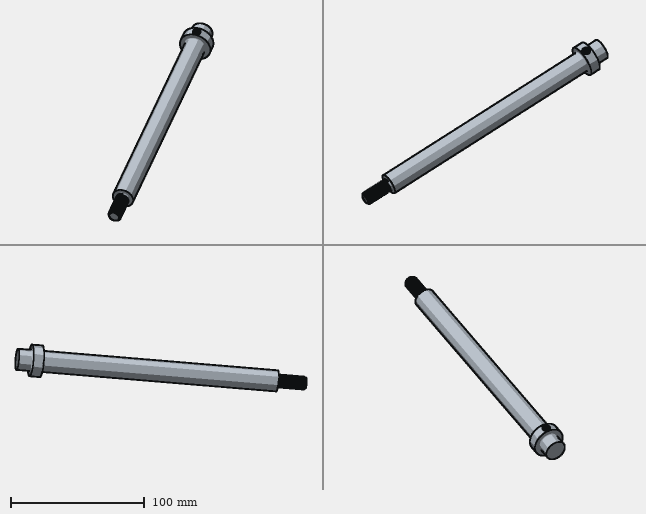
import cadquery as cq
import math

ROD_DIAMETER = 16.0
ROD_LENGTH = 198.0
STUD_DIAMETER = 10.0
STUD_LENGTH = 22.0
STUD_TIP_CHAMFER = 1.0
STUD_ROOT_FILLET = 0.5

THREAD_PITCH = 1.5
THREAD_HALF_ANGLE = math.radians(30)
THREAD_CREST = THREAD_PITCH / 8
THREAD_ROOT = THREAD_PITCH / 4
THREAD_DEPTH = (THREAD_PITCH - THREAD_CREST - THREAD_ROOT) / (2 * math.tan(THREAD_HALF_ANGLE))
THREAD_START = THREAD_PITCH / 2 + STUD_ROOT_FILLET
GROOVE_OVERCUT = 0.1

COLLAR_DIAMETER = 24.0
COLLAR_WIDTH = 8.0
COLLAR_END_GAP = 10.3
COLLAR_ROOT_FILLET = 0.9

SCREW_DIAMETER = 5.3
SCREW_LENGTH = 6.0
SCREW_CHAMFER = 0.5
SCREW_RECESS = 0.5
HOLE_COUNTERSINK = 0.7
SOCKET_ACROSS_FLATS = 2.2
SOCKET_DEPTH = 2.0
SOCKET_TURN = 90
SOCKET_POINT_ANGLE = math.radians(30)

collar_start = ROD_LENGTH - COLLAR_END_GAP - COLLAR_WIDTH
collar_end = collar_start + COLLAR_WIDTH
collar_middle = collar_start + COLLAR_WIDTH / 2
collar_radius = COLLAR_DIAMETER / 2
screw_radius = SCREW_DIAMETER / 2
screw_top = collar_radius - SCREW_RECESS
screw_bottom = screw_top - SCREW_LENGTH


def cylinder_along_y(diameter, start, length):
    """Cylinder centred on the Y axis, running from y = start towards +Y."""
    return cq.Workplane("XZ", origin=(0, start, 0)).circle(diameter / 2).extrude(-length)


def thread_groove():
    """Helical cutter that leaves the thread on the stud, from the root fillet past the tip."""
    stud_radius = STUD_DIAMETER / 2
    root_radius = stud_radius - THREAD_DEPTH
    outer_radius = stud_radius + GROOVE_OVERCUT
    half_root = THREAD_ROOT / 2
    half_mouth = half_root + (outer_radius - root_radius) * math.tan(THREAD_HALF_ANGLE)
    helix = cq.Wire.makeHelix(THREAD_PITCH, STUD_LENGTH, root_radius)
    profile = [
        (root_radius, -half_root),
        (outer_radius, -half_mouth),
        (outer_radius, half_mouth),
        (root_radius, half_root),
    ]
    groove = cq.Workplane("XZ").polyline(profile).close().sweep(cq.Workplane(obj=helix), isFrenet=True)
    groove = groove.rotate((0, 0, 0), (1, 0, 0), 90).rotate((0, 0, 0), (0, 1, 0), -90)
    return groove.translate((0, -THREAD_START, 0))


def fillet_root(body, root_diameter, face_y, radius):
    """Fillet the inner corner where a cylinder of root_diameter meets the flat face at face_y."""
    reach = root_diameter / 2 + radius / 2
    corner = cq.selectors.BoxSelector(
        (-reach, face_y - radius / 2, -reach), (reach, face_y + radius / 2, reach), boundingbox=True
    )
    return body.edges(corner).fillet(radius)


def screw_hole():
    """Cutter for the blind hole that takes the set screw, with its countersunk mouth."""
    mouth = collar_radius - HOLE_COUNTERSINK
    profile = [
        (0, screw_bottom),
        (screw_radius, screw_bottom),
        (screw_radius, mouth),
        (screw_radius + HOLE_COUNTERSINK, collar_radius),
        (0, collar_radius),
    ]
    hole = cq.Workplane("XZ").polyline(profile).close().revolve(360, (0, 0, 0), (0, 1, 0))
    return hole.translate((0, collar_middle, 0))


def make_shaft():
    """Rod, collar and threaded stud as one solid, with the stud shoulder at y = 0."""
    rod = cylinder_along_y(ROD_DIAMETER, 0, ROD_LENGTH)
    collar = cylinder_along_y(COLLAR_DIAMETER, collar_start, COLLAR_WIDTH)
    stud = cylinder_along_y(STUD_DIAMETER, -STUD_LENGTH, STUD_LENGTH)
    stud = stud.faces("<Y").chamfer(STUD_TIP_CHAMFER)
    shaft = rod.union(collar).union(stud.cut(thread_groove()))
    for face_y in (collar_start, collar_end):
        shaft = fillet_root(shaft, ROD_DIAMETER, face_y, COLLAR_ROOT_FILLET)
    shaft = fillet_root(shaft, STUD_DIAMETER, 0, STUD_ROOT_FILLET)
    return shaft.cut(screw_hole())


def make_screw():
    """Set screw along Z with a drilled hexagon socket in its top."""
    base = cq.Workplane("XY", origin=(0, collar_middle, screw_bottom))
    screw = base.circle(screw_radius).extrude(SCREW_LENGTH).faces(">Z").chamfer(SCREW_CHAMFER)
    socket_floor = screw_top - SOCKET_DEPTH
    socket = (
        cq.Workplane("XY", origin=(0, collar_middle, socket_floor))
        .polygon(6, SOCKET_ACROSS_FLATS, circumscribed=True)
        .extrude(SOCKET_DEPTH)
        .rotate((0, collar_middle, 0), (0, collar_middle, 1), SOCKET_TURN)
    )
    drill_radius = SOCKET_ACROSS_FLATS / 2
    point_depth = drill_radius * math.tan(SOCKET_POINT_ANGLE)
    drill_centre = cq.Vector(0, collar_middle, socket_floor)
    drill_point = cq.Solid.makeCone(drill_radius, 0, point_depth, drill_centre, cq.Vector(0, 0, -1))
    return screw.cut(socket).cut(cq.Workplane(drill_point))


shaft = make_shaft()
screw = make_screw()

result = cq.Compound.makeCompound([shaft.val(), screw.val()])